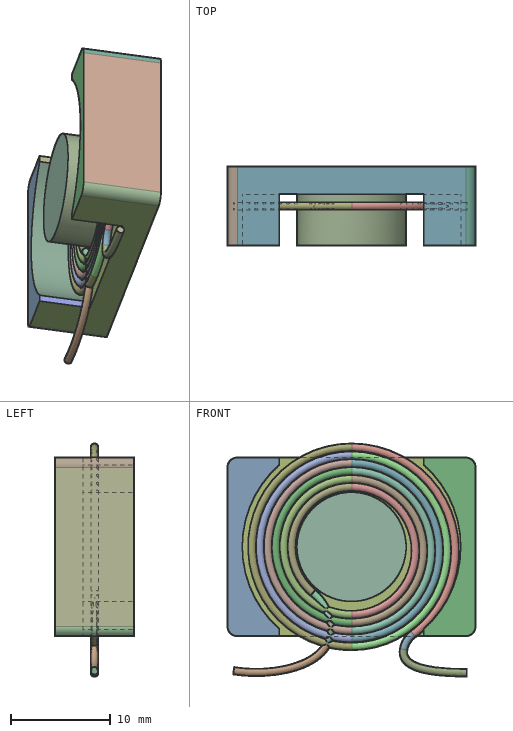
import cadquery as cq
import math

WIDTH = 25.0
DEPTH = 8.0
HEIGHT = 18.0
CORNER_RADIUS = 1.0
BACK_THICKNESS = 2.8
POCKET_RADIUS = 11.0
SLOT_WIDTH = 14.5
CORE_RADIUS = 5.5

WIRE_DIAMETER = 0.78
TURN_PITCH = 0.8
INNER_TURN_RADIUS = 6.03
TURNS = 6
RIGHT_CENTRE_Z = -TURN_PITCH / 2
INNER_END_ANGLE = 230.0
OUTER_END_ANGLE = -53.6
TOP_ANGLE = 90
BOTTOM_ANGLE = 270
FULL_TURN = 360
INNER_LEAD_DIAMETER = 0.76

INNER_LEAD_BEND = (-2.15, -7.6)
INNER_LEAD_TIP = (-11.87, -12.47)
INNER_LEAD_TIP_ANGLE = 171
INNER_LEAD_REACHES = (4.2, 4.6)
OUTER_LEAD_BEND = (5.25, -10.3)
OUTER_LEAD_TIP = (11.62, -12.68)
OUTER_LEAD_TIP_ANGLE = 0
OUTER_LEAD_REACHES = (1.5, 5.0)

front_y = -DEPTH / 2
pocket_depth = DEPTH - BACK_THICKNESS


def front_plane():
    """Workplane on the front face, extruding towards the back (+Y); local x is -X."""
    return cq.Workplane(cq.Plane(origin=(0, front_y, 0), xDir=(-1, 0, 0), normal=(0, 1, 0)))


def make_housing():
    block = cq.Workplane("XY").box(WIDTH, DEPTH, HEIGHT).edges("|Y").fillet(CORNER_RADIUS)
    pocket = front_plane().circle(POCKET_RADIUS).extrude(pocket_depth)
    slot = front_plane().rect(SLOT_WIDTH, HEIGHT).extrude(pocket_depth)
    core = front_plane().circle(CORE_RADIUS).extrude(pocket_depth)
    return block.cut(pocket).cut(slot).union(core)


def point_on_turn(radius, angle, centre_z):
    """Point on a turn at an angle in degrees from +X."""
    x = radius * math.cos(math.radians(angle))
    z = centre_z + radius * math.sin(math.radians(angle))
    return cq.Vector(x, 0, z)


def make_turn_arc(radius, start_angle, end_angle, centre_z=0.0):
    start = point_on_turn(radius, start_angle, centre_z)
    middle = point_on_turn(radius, (start_angle + end_angle) / 2, centre_z)
    end = point_on_turn(radius, end_angle, centre_z)
    return cq.Edge.makeThreePointArc(start, middle, end)


def make_lead_path(start, direction, bend, tip, tip_angle, reaches):
    """Arc tangent to the coil end, then a Bezier curve tangent to that arc and to the tip."""
    bend_point = cq.Vector(bend[0], 0, bend[1])
    tip_point = cq.Vector(tip[0], 0, tip[1])
    arc = cq.Edge.makeTangentArc(start, direction, bend_point)
    tip_direction = cq.Vector(math.cos(math.radians(tip_angle)), 0, math.sin(math.radians(tip_angle)))
    bend_reach, tip_reach = reaches
    bend_control = bend_point + arc.tangentAt(1) * bend_reach
    tip_control = tip_point - tip_direction * tip_reach
    return [arc, cq.Edge.makeBezier([bend_point, bend_control, tip_control, tip_point])]


def sweep_wire(edges, diameter):
    """Round wire along a smooth chain of edges."""
    section = cq.Plane(origin=edges[0].startPoint(), normal=edges[0].tangentAt(0))
    path = cq.Workplane("XY").newObject([cq.Wire.assembleEdges(edges)])
    return cq.Workplane(section).circle(diameter / 2).sweep(path)


def make_coil_arcs():
    """Half turns from the inner end to the outer end, each wound clockwise seen from the front."""
    arcs = []
    for turn in range(TURNS):
        left_radius = INNER_TURN_RADIUS + turn * TURN_PITCH
        right_radius = left_radius + TURN_PITCH / 2
        left_start = INNER_END_ANGLE if turn == 0 else BOTTOM_ANGLE
        right_end = OUTER_END_ANGLE if turn == TURNS - 1 else BOTTOM_ANGLE - FULL_TURN
        arcs.append(make_turn_arc(left_radius, left_start, TOP_ANGLE))
        arcs.append(make_turn_arc(right_radius, TOP_ANGLE, right_end, RIGHT_CENTRE_Z))
    return arcs


def make_winding():
    coil = make_coil_arcs()
    inner_lead = make_lead_path(
        coil[0].startPoint(),
        -coil[0].tangentAt(0),
        INNER_LEAD_BEND,
        INNER_LEAD_TIP,
        INNER_LEAD_TIP_ANGLE,
        INNER_LEAD_REACHES,
    )
    outer_lead = make_lead_path(
        coil[-1].endPoint(),
        coil[-1].tangentAt(1),
        OUTER_LEAD_BEND,
        OUTER_LEAD_TIP,
        OUTER_LEAD_TIP_ANGLE,
        OUTER_LEAD_REACHES,
    )
    wound_wire = sweep_wire(coil + outer_lead, WIRE_DIAMETER)
    return wound_wire.union(sweep_wire(inner_lead, INNER_LEAD_DIAMETER))


result = make_housing().union(make_winding())